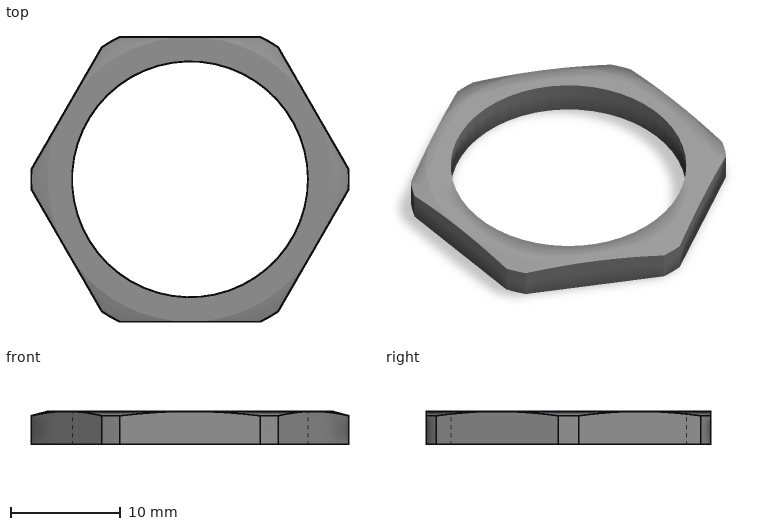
import cadquery as cq
import math

side_count = 6
across_flats = 26.0
corner_diameter = 29.0
bore_diameter = 21.5
thickness = 3.0
chamfer_angle = 15.0

corner_radius = corner_diameter / 2
across_sharp_corners = across_flats / math.cos(math.pi / side_count)
top_face_radius = across_flats / 2
chamfer_drop = (corner_radius - top_face_radius) * math.tan(math.radians(chamfer_angle))


def hexagonal_prism():
    """Sharp-cornered hexagon with two flats facing +Y and -Y, standing on Z = 0."""
    return cq.Workplane("XY").polygon(side_count, across_sharp_corners).extrude(thickness)


def turned_envelope():
    """Cylinder with a conical top edge, which rounds the hexagon's corners and chamfers them."""
    return (
        cq.Workplane("XZ")
        .moveTo(0, 0)
        .lineTo(corner_radius, 0)
        .lineTo(corner_radius, thickness - chamfer_drop)
        .lineTo(top_face_radius, thickness)
        .lineTo(0, thickness)
        .close()
        .revolve(360, (0, 0, 0), (0, 1, 0))
    )


def bore():
    """Plain through hole on the Z axis."""
    return cq.Workplane("XY").circle(bore_diameter / 2).extrude(thickness)


result = hexagonal_prism().intersect(turned_envelope()).cut(bore())